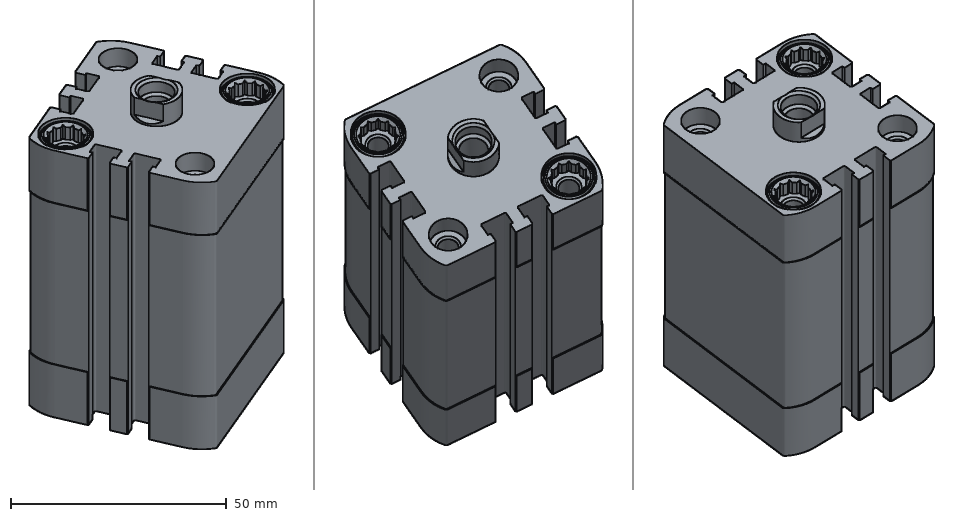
import cadquery as cq
import math

width = 47.0
total_height = 81.75
rod_projection = 6.1
cap_height = 15.0
profile_inset = 0.25
crown_radius = 12.0
crown_start = 16.0
corner_fillet = 0.8
housing_height = total_height - rod_projection
half_width = width / 2

slot_offset = 4.9
slot_neck_width = 5.2
slot_mouth_flare = 0.25
slot_inner_width = 6.7
slot_lip_depth = 2.6
slot_depth = 6.0
slot_corner_fillet = 0.3

hole_offset = 16.2
bore_diameter = 4.9
bore_countersink_diameter = 6.0
counterbore_diameter = 9.0
counterbore_depth = 5.15

ring_groove_diameter = 12.8
ring_groove_depth = 1.2
sleeve_diameter = 11.9
sleeve_recess = 0.25
sleeve_chamfer = 0.4
socket_mouth_diameter = 10.2
socket_groove_diameter = 9.3
socket_tooth_diameter = 8.4
socket_tooth_width = 1.15
socket_tooth_count = 12
socket_depth = 4.7

rod_diameter = 12.0
rod_length = rod_projection + cap_height
flat_spacing = 9.6
flat_height = 4.8
flat_floor_drop = 0.7
thread_countersink_diameter = 9.8
thread_entry_diameter = 8.5
thread_entry_depth = 3.6
thread_diameter = 6.8
thread_depth = 12.0
drill_tip_angle = 118.0


def prism(side_inset, bottom, height):
    """Housing cross-section, pulled in by side_inset on every side, extruded upward."""
    side = half_width - side_inset
    radius = crown_radius - side_inset
    arc_centre_y = side - radius
    run = side - crown_start
    edge_y = arc_centre_y + math.sqrt(radius**2 - run**2)
    middle_angle = math.asin(run / radius) / 2
    mid_x = crown_start + radius * math.sin(middle_angle)
    mid_y = arc_centre_y + radius * math.cos(middle_angle)
    return (
        cq.Workplane("XY", origin=(0, 0, bottom))
        .moveTo(-crown_start, side)
        .lineTo(crown_start, side)
        .threePointArc((mid_x, mid_y), (side, edge_y))
        .lineTo(side, -edge_y)
        .threePointArc((mid_x, -mid_y), (crown_start, -side))
        .lineTo(-crown_start, -side)
        .threePointArc((-mid_x, -mid_y), (-side, -edge_y))
        .lineTo(-side, edge_y)
        .threePointArc((-mid_x, mid_y), (-crown_start, side))
        .close()
        .extrude(height)
        .edges("|Z and (>X or <X)")
        .fillet(corner_fillet)
    )


def t_slot(face_angle, offset):
    """Full-height T-slot cutter with a flared mouth, turned by face_angle from the +Y face."""
    neck = slot_neck_width / 2
    inner = slot_inner_width / 2
    mouth = neck + slot_mouth_flare
    cutter = (
        cq.Workplane("XY")
        .moveTo(offset - mouth, half_width)
        .lineTo(offset - neck, half_width - profile_inset)
        .lineTo(offset - neck, half_width - slot_lip_depth)
        .lineTo(offset - inner, half_width - slot_lip_depth)
        .lineTo(offset - inner, half_width - slot_depth)
        .lineTo(offset + inner, half_width - slot_depth)
        .lineTo(offset + inner, half_width - slot_lip_depth)
        .lineTo(offset + neck, half_width - slot_lip_depth)
        .lineTo(offset + neck, half_width - profile_inset)
        .lineTo(offset + mouth, half_width)
        .close()
        .extrude(housing_height)
        .edges("|Z and <Y")
        .fillet(slot_corner_fillet)
    )
    return cutter.rotate((0, 0, 0), (0, 0, 1), face_angle)


def cylinder(diameter, bottom, top):
    return cq.Workplane("XY", origin=(0, 0, bottom)).circle(diameter / 2).extrude(top - bottom)


def cone(bottom_diameter, top_diameter, bottom, top):
    return cq.Workplane(
        cq.Solid.makeCone(bottom_diameter / 2, top_diameter / 2, top - bottom, cq.Vector(0, 0, bottom))
    )


def countersunk_bore(floor):
    """Through bore with a 45 degree countersink whose wide end lies at height floor."""
    sink_depth = (bore_countersink_diameter - bore_diameter) / 2
    sink = cone(bore_diameter, bore_countersink_diameter, floor - sink_depth, floor)
    return cylinder(bore_diameter, 0, floor).union(sink)


def plain_corner_cutter():
    floor = housing_height - counterbore_depth
    return countersunk_bore(floor).union(cylinder(counterbore_diameter, floor, housing_height))


def toothed_socket(floor, top):
    """Socket cutter with flat-topped teeth separated by V grooves."""
    tooth_radius = socket_tooth_diameter / 2
    groove_radius = socket_groove_diameter / 2
    pitch = 2 * math.pi / socket_tooth_count
    half_tooth = math.asin(socket_tooth_width / 2 / tooth_radius)
    points = []
    for i in range(socket_tooth_count):
        angle = i * pitch + math.pi / 4
        for radius, turn in (
            (tooth_radius, -half_tooth),
            (tooth_radius, half_tooth),
            (groove_radius, pitch / 2),
        ):
            points.append((radius * math.cos(angle + turn), radius * math.sin(angle + turn)))
    return cq.Workplane("XY", origin=(0, 0, floor)).polyline(points).close().extrude(top - floor)


def socket_corner_cutter():
    """Recessed sleeve end surrounded by a ring groove, with a toothed socket inside."""
    sleeve_top = housing_height - sleeve_recess
    groove_floor = housing_height - ring_groove_depth
    socket_floor = housing_height - socket_depth
    sleeve = cylinder(sleeve_diameter, groove_floor, sleeve_top).faces(">Z").chamfer(sleeve_chamfer)
    mouth_depth = (socket_mouth_diameter - socket_tooth_diameter) / 2
    mouth = cone(socket_tooth_diameter, socket_mouth_diameter, sleeve_top - mouth_depth, sleeve_top)
    return (
        cylinder(ring_groove_diameter, groove_floor, housing_height)
        .cut(sleeve)
        .union(toothed_socket(socket_floor, sleeve_top))
        .union(mouth)
        .union(countersunk_bore(socket_floor))
    )


def make_housing():
    body = prism(profile_inset, 0, housing_height)
    for bottom in (0, housing_height - cap_height):
        body = body.union(prism(0, bottom, cap_height))
    for face_angle in (0, 90, 180):
        for offset in (-slot_offset, slot_offset):
            body = body.cut(t_slot(face_angle, offset))
    for side in (-1, 1):
        place = side * hole_offset
        body = body.cut(plain_corner_cutter().translate((place, -place, 0)))
        body = body.cut(socket_corner_cutter().translate((place, place, 0)))
    return body.cut(cylinder(rod_diameter, total_height - rod_length, housing_height))


def wrench_flat_cutter():
    """Flat on the +Y side of the rod; its floor slopes down toward the outside."""
    flat_y = flat_spacing / 2
    outer_y = rod_diameter / 2
    floor_z = total_height - flat_height
    return (
        cq.Workplane("YZ")
        .moveTo(flat_y, total_height)
        .lineTo(flat_y, floor_z)
        .lineTo(outer_y, floor_z - flat_floor_drop)
        .lineTo(outer_y, total_height)
        .close()
        .extrude(rod_diameter / 2, both=True)
    )


def thread_hole_cutter():
    """Countersunk entry bore, conical step, threaded bore and drill tip."""
    sink_depth = (thread_countersink_diameter - thread_entry_diameter) / 2
    tip_slope = 1 / math.tan(math.radians(drill_tip_angle / 2))
    step_depth = (thread_entry_diameter - thread_diameter) / 2 * tip_slope
    tip_depth = thread_diameter / 2 * tip_slope
    sink_floor = total_height - sink_depth
    entry_floor = total_height - thread_entry_depth
    thread_floor = total_height - thread_depth
    return (
        cylinder(thread_entry_diameter, entry_floor, total_height)
        .union(cone(thread_entry_diameter, thread_countersink_diameter, sink_floor, total_height))
        .union(cone(thread_diameter, thread_entry_diameter, entry_floor - step_depth, entry_floor))
        .union(cylinder(thread_diameter, thread_floor, entry_floor))
        .union(cone(0, thread_diameter, thread_floor - tip_depth, thread_floor))
    )


def make_piston_rod():
    flat = wrench_flat_cutter()
    return (
        cylinder(rod_diameter, total_height - rod_length, total_height)
        .cut(flat)
        .cut(flat.mirror("XZ"))
        .cut(thread_hole_cutter())
    )


housing = make_housing()
piston_rod = make_piston_rod()

result = cq.Compound.makeCompound([housing.val(), piston_rod.val()])